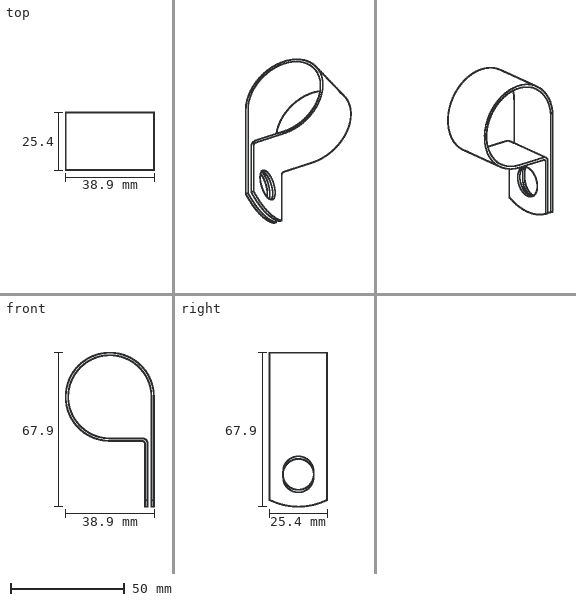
import cadquery as cq
import math

strap_width = 25.4
thickness = 1.22
loop_outer_radius = 19.47
leg_length = 48.39
leg_gap = 1.59
bend_inner_radius = 1.2
tip_rise = 3.0
hole_diameter = 13.5
slot_length = 15.9
hole_height = 14.29

loop_inner_radius = loop_outer_radius - thickness
bend_outer_radius = bend_inner_radius + thickness
half_width = strap_width / 2
tip_z = -leg_length
inner_leg_right = loop_inner_radius - leg_gap
inner_leg_left = inner_leg_right - thickness
gap_middle = inner_leg_right + leg_gap / 2
bend_center_x = inner_leg_right - bend_outer_radius
bend_center_z = -loop_inner_radius - bend_outer_radius


def arc_point(center_x, center_z, radius, angle):
    """Point on a circle in the XZ plane, angle in degrees from +X."""
    a = math.radians(angle)
    return (center_x + radius * math.cos(a), center_z + radius * math.sin(a))


def make_strap():
    """Bent strap: long leg, three-quarter loop, flat, bend and short leg."""
    loop_middle = 135
    bend_middle = 45
    return (
        cq.Workplane("XZ", origin=(0, half_width, 0))
        .moveTo(loop_outer_radius, tip_z)
        .lineTo(loop_outer_radius, 0)
        .threePointArc(
            arc_point(0, 0, loop_outer_radius, loop_middle),
            (0, -loop_outer_radius),
        )
        .lineTo(bend_center_x, -loop_outer_radius)
        .threePointArc(
            arc_point(bend_center_x, bend_center_z, bend_inner_radius, bend_middle),
            (inner_leg_left, bend_center_z),
        )
        .lineTo(inner_leg_left, tip_z)
        .lineTo(inner_leg_right, tip_z)
        .lineTo(inner_leg_right, bend_center_z)
        .threePointArc(
            arc_point(bend_center_x, bend_center_z, bend_outer_radius, bend_middle),
            (bend_center_x, -loop_inner_radius),
        )
        .lineTo(0, -loop_inner_radius)
        .threePointArc(
            arc_point(0, 0, loop_inner_radius, loop_middle),
            (loop_inner_radius, 0),
        )
        .lineTo(loop_inner_radius, tip_z)
        .close()
        .extrude(strap_width)
    )


def make_tip_envelope():
    """Block with a rounded lower end that trims the tips of both legs."""
    return (
        cq.Workplane("YZ", origin=(-loop_outer_radius, 0, 0))
        .moveTo(-half_width, loop_outer_radius)
        .lineTo(-half_width, tip_z + tip_rise)
        .threePointArc((0, tip_z), (half_width, tip_z + tip_rise))
        .lineTo(half_width, loop_outer_radius)
        .close()
        .extrude(2 * loop_outer_radius)
    )


def make_bolt_hole():
    """Cylinder along X that pierces the short leg and ends in the gap."""
    return (
        cq.Workplane("YZ")
        .center(0, tip_z + hole_height)
        .circle(hole_diameter / 2)
        .extrude(gap_middle)
    )


def make_adjustment_slot():
    """Vertical slot, as wide as the bolt hole, that pierces the long leg."""
    vertical = 90
    return (
        cq.Workplane("YZ", origin=(gap_middle, 0, 0))
        .center(0, tip_z + hole_height)
        .slot2D(slot_length, hole_diameter, vertical)
        .extrude(loop_outer_radius - gap_middle)
    )


result = (
    make_strap()
    .intersect(make_tip_envelope())
    .cut(make_bolt_hole())
    .cut(make_adjustment_slot())
)